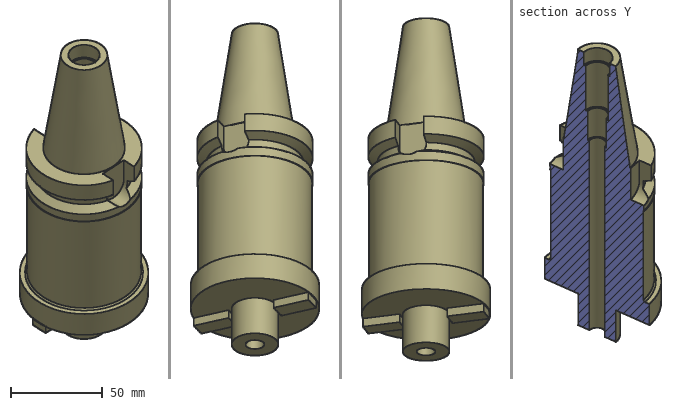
import cadquery as cq

TAPER_RATIO = 7 / 24
GAUGE_DIAMETER = 44.45
TAPER_LENGTH = 65.4
TAPER_TIP_DIAMETER = GAUGE_DIAMETER - TAPER_RATIO * TAPER_LENGTH

FLANGE_DIAMETER = 63.0
FLANGE_TOP_Z = -1.0
FLANGE_BOTTOM_Z = -27.0
GROOVE_DIAMETER = 53.0
GROOVE_CENTRE_Z = -16.6
GROOVE_FLOOR_WIDTH = 4.4
GROOVE_MOUTH_WIDTH = 10.2

SLOT_WIDTH = 16.1
SLOT_FLOOR_X = 22.6
SLOT_END_Z = -23.0

BODY_DIAMETER = 62.3
COLLAR_DIAMETER = 70.0
COLLAR_TOP_Z = -90.0
COLLAR_BOTTOM_Z = -105.0
BODY_FLARE = 1.0
PILOT_DIAMETER = 25.4
PILOT_BOTTOM_Z = -127.0

KEY_WIDTH = 10.0
KEY_HEIGHT = 4.8
KEY_INNER_Y = 13.5
KEY_OUTER_Y = 34.5

BORE_STEPS = (
    (17.0, 9.0),
    (14.7, 40.0),
    (12.2, 60.0),
)
THROUGH_HOLE_DIAMETER = 10.2


def make_turned_body():
    """Revolve the outer half outline about the Z axis."""
    groove_radius = GROOVE_DIAMETER / 2
    flange_radius = FLANGE_DIAMETER / 2
    gauge_radius = GAUGE_DIAMETER / 2
    body_radius = BODY_DIAMETER / 2
    collar_radius = COLLAR_DIAMETER / 2
    pilot_radius = PILOT_DIAMETER / 2
    outline = [
        (0, TAPER_LENGTH),
        (TAPER_TIP_DIAMETER / 2, TAPER_LENGTH),
        (gauge_radius, 0),
        (gauge_radius, FLANGE_TOP_Z),
        (flange_radius, FLANGE_TOP_Z),
        (flange_radius, GROOVE_CENTRE_Z + GROOVE_MOUTH_WIDTH / 2),
        (groove_radius, GROOVE_CENTRE_Z + GROOVE_FLOOR_WIDTH / 2),
        (groove_radius, GROOVE_CENTRE_Z - GROOVE_FLOOR_WIDTH / 2),
        (flange_radius, GROOVE_CENTRE_Z - GROOVE_MOUTH_WIDTH / 2),
        (flange_radius, FLANGE_BOTTOM_Z),
        (body_radius, FLANGE_BOTTOM_Z),
        (body_radius, COLLAR_TOP_Z + BODY_FLARE),
        (body_radius + BODY_FLARE, COLLAR_TOP_Z),
        (collar_radius, COLLAR_TOP_Z),
        (collar_radius, COLLAR_BOTTOM_Z),
        (pilot_radius, COLLAR_BOTTOM_Z),
        (pilot_radius, PILOT_BOTTOM_Z),
        (0, PILOT_BOTTOM_Z),
    ]
    return cq.Workplane("YZ").polyline(outline).close().revolve(360, (0, 0), (0, 1))


def make_drive_slot(side):
    """Round-ended cutter for one drive slot; side is +1 for +X and -1 for -X."""
    half_width = SLOT_WIDTH / 2
    arc_centre_z = SLOT_END_Z + half_width
    return (
        cq.Workplane("YZ", origin=(side * SLOT_FLOOR_X, 0, 0))
        .moveTo(-half_width, FLANGE_TOP_Z)
        .lineTo(-half_width, arc_centre_z)
        .threePointArc((0, SLOT_END_Z), (half_width, arc_centre_z))
        .lineTo(half_width, FLANGE_TOP_Z)
        .close()
        .extrude(side * FLANGE_DIAMETER / 2)
    )


def make_drive_key(side):
    """One key block under the collar; side is +1 for +Y and -1 for -Y."""
    key_length = KEY_OUTER_Y - KEY_INNER_Y
    key_centre_y = side * (KEY_INNER_Y + KEY_OUTER_Y) / 2
    return (
        cq.Workplane("XY", origin=(0, key_centre_y, COLLAR_BOTTOM_Z))
        .rect(KEY_WIDTH, key_length)
        .extrude(-KEY_HEIGHT)
    )


def make_bore(diameter, depth):
    """Cylinder sunk from the taper tip down to the given depth."""
    return cq.Workplane("XY", origin=(0, 0, TAPER_LENGTH)).circle(diameter / 2).extrude(-depth)


result = make_turned_body()
for side in (1, -1):
    result = result.cut(make_drive_slot(side))
    result = result.union(make_drive_key(side))
for diameter, depth in BORE_STEPS:
    result = result.cut(make_bore(diameter, depth))
result = result.cut(make_bore(THROUGH_HOLE_DIAMETER, TAPER_LENGTH - PILOT_BOTTOM_Z))